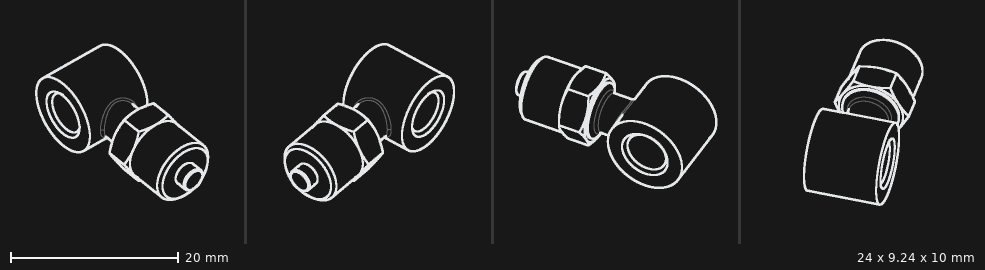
import cadquery as cq
import math

overall_length = 24

ring_diameter = 10.0
ring_radius = ring_diameter / 2
ring_width = 9.0
bore_radius = 2.6
bore_chamfer = 0.48

neck_radius = 2.52
ring_neck_fillet = 0.34
collar_start_x = 8.18
collar_radius = 3.53
cone_angle = 60
cone_fillet = 0.5

nut_start_x = 8.4
nut_end_x = 11.85
nut_flats = 8.0
nut_bevel_angle = 30

sleeve_radius = nut_flats / 2
sleeve_end_x = 17.38
sleeve_chamfer = 0.45
stem_end_x = overall_length - ring_radius
tip_radius = 1.5
tip_chamfer = 0.15


def revolve_about_x(profile):
    """Turn a closed profile, drawn in X and radius, about the stem axis."""
    return profile.close().revolve(360, (0, 0, 0), (1, 0, 0))


def make_ring():
    return cq.Workplane("XZ").circle(ring_radius).extrude(ring_width / 2, both=True)


def make_neck():
    return cq.Workplane("YZ").circle(neck_radius).extrude(collar_start_x)


def join_ring_and_neck():
    """Blend the neck into the outside of the solid ring."""
    body = make_ring().union(make_neck())
    reach = neck_radius + ring_neck_fillet
    junction = cq.selectors.BoxSelector(
        (bore_radius, -reach, -reach),
        (ring_radius + ring_neck_fillet, reach, reach),
    )
    return body.edges(junction).fillet(ring_neck_fillet)


def make_cone():
    """Flared cone, rounded where it leaves the neck, with a short collar."""
    angle = math.radians(cone_angle)
    corner_x = collar_start_x - (collar_radius - neck_radius) / math.tan(angle)
    arc_start_x = corner_x - cone_fillet * math.tan(angle / 2)
    arc_centre_radius = neck_radius + cone_fillet

    def arc_point(turn):
        return (
            arc_start_x + cone_fillet * math.sin(turn),
            arc_centre_radius - cone_fillet * math.cos(turn),
        )

    profile = (
        cq.Workplane("XY")
        .moveTo(arc_start_x, 0)
        .lineTo(*arc_point(0))
        .threePointArc(arc_point(angle / 2), arc_point(angle))
        .lineTo(collar_start_x, collar_radius)
        .lineTo(nut_start_x, collar_radius)
        .lineTo(nut_start_x, 0)
    )
    return revolve_about_x(profile)


def make_nut():
    """Hexagonal prism with both ends bevelled down to the flats."""
    flat_radius = nut_flats / 2
    corner_radius = flat_radius / math.cos(math.pi / 6)
    bevel_length = (corner_radius - flat_radius) * math.tan(math.radians(nut_bevel_angle))
    hexagon = (
        cq.Workplane("YZ", origin=(nut_start_x, 0, 0))
        .polygon(6, 2 * corner_radius)
        .extrude(nut_end_x - nut_start_x)
    )
    bevel_profile = (
        cq.Workplane("XY")
        .moveTo(nut_start_x, 0)
        .lineTo(nut_start_x, flat_radius)
        .lineTo(nut_start_x + bevel_length, corner_radius)
        .lineTo(nut_end_x - bevel_length, corner_radius)
        .lineTo(nut_end_x, flat_radius)
        .lineTo(nut_end_x, 0)
    )
    return hexagon.intersect(revolve_about_x(bevel_profile))


def make_round_end(start_x, end_x, radius, chamfer):
    """Cylinder along X with its +X rim chamfered."""
    cylinder = cq.Workplane("YZ", origin=(start_x, 0, 0)).circle(radius).extrude(end_x - start_x)
    return cylinder.faces(">X").edges().chamfer(chamfer)


def make_bore():
    """Through bore, opened by a chamfer at each end of the ring."""
    half_width = ring_width / 2
    profile = (
        cq.Workplane("XY")
        .moveTo(0, -half_width)
        .lineTo(bore_radius + bore_chamfer, -half_width)
        .lineTo(bore_radius, -half_width + bore_chamfer)
        .lineTo(bore_radius, half_width - bore_chamfer)
        .lineTo(bore_radius + bore_chamfer, half_width)
        .lineTo(0, half_width)
        .close()
    )
    return profile.revolve(360, (0, 0, 0), (0, 1, 0))


sleeve = make_round_end(nut_end_x, sleeve_end_x, sleeve_radius, sleeve_chamfer)
tip = make_round_end(sleeve_end_x, stem_end_x, tip_radius, tip_chamfer)

result = (
    join_ring_and_neck()
    .union(make_cone())
    .union(make_nut())
    .union(sleeve)
    .union(tip)
    .cut(make_bore())
)